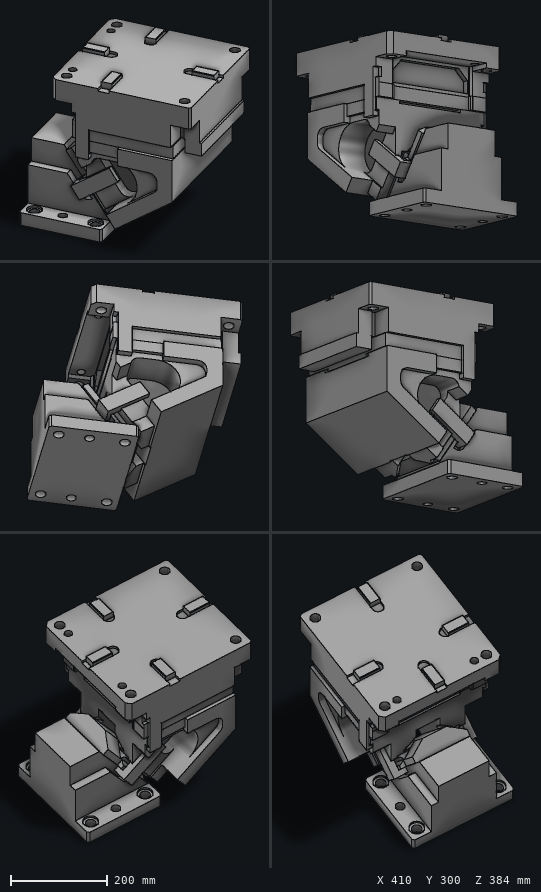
import cadquery as cq
import math


DRIVE_SLOPE_HEADING = -55.0
UP = 90.0
DRIVE_ANGLE = math.radians(-DRIVE_SLOPE_HEADING)
SLOPE_TOP_X = 75.0
SLOPE_TOP_Z = 175.0
ALONG = (math.cos(DRIVE_ANGLE), -math.sin(DRIVE_ANGLE))
OUT = (math.sin(DRIVE_ANGLE), math.cos(DRIVE_ANGLE))

BASE_LENGTH = 190.0
BASE_WIDTH = 250.0
BASE_THICKNESS = 30.0
BASE_CHAMFER = 5.0
BASE_HOLE_MARGIN = 25.0
BASE_BOLT_DIAMETER = 22.0
BASE_BOLT_HEAD_DIAMETER = 33.0
BASE_BOLT_HEAD_DEPTH = 5.0
BASE_DOWEL_X = 90.0
BASE_DOWEL_DIAMETER = 20.0

BLOCK_HALF_WIDTH = 80.0
BLOCK_TOP_HALF_WIDTH = 62.0
SHOULDER_Z = 120.0
LEDGE_OUT = 8.5
LEDGE_START = 75.0

VEE_START = 11.3
VEE_END = 171.0
VEE_HALF_WIDTH = 67.0
VEE_SIDE_OUT = 15.0
RIDGE_HALF_WIDTH = 29.0
RIDGE_OUT = 40.0
VEE_FALL = (RIDGE_OUT - VEE_SIDE_OUT) / (VEE_HALF_WIDTH - RIDGE_HALF_WIDTH)

GROOVE_DEPTH = 18.8
GROOVE_END = 126.0

SLIDER_FRONT_X = 139.5
SLIDER_BACK_X = 362.5
SLIDER_TOP_Z = 243.0
ARM_OUT = 58.5
ARM_END = 190.2
FOOT_OUT = 24.0
FOOT_END = 184.0
FOOT_HALF_WIDTH = 95.5
CORE_HALF_WIDTH = 91.5
NECK_HALF_WIDTH = 135.0
FLANGE_HALF_WIDTH = 142.0
FLANGE_BOTTOM_Z = 216.5
ARM_HALF_WIDTH = 150.0
ARM_FRONT_X = 237.8

WINDOW_TOP_Z = 203.0
WINDOW_START = 45.2
WINDOW_END = 154.4
WINDOW_CORNER_RADIUS = 20.0
WINDOW_BACK_X = 328.5

CAVITY_HALF_GAP = 66.0
CAVITY_RADIUS = 50.0
CAVITY_OUT = 79.5
CAVITY_CORNER_RADIUS = 20.0

RIDGE_SLOT_OUT = 60.5
LIP_START = 68.0
LIP_TIP_OUT = 15.5
LIP_HALF_WIDTH = 76.0
LIP_SEAT_OUT = 28.0
LIP_SEAT_HALF_WIDTH = 67.0
LIP_SEAT_RIDGE_OUT = 47.0

HOOK_START = 77.0
HOOK_END = 112.0
HOOK_IN = 12.5
HOOK_OUT = 94.5
HOOK_OUTER_Y = 102.5
HOOK_INNER_Y = 84.5
HOOK_TIP_Y = 68.0

TOP_SLOT_HALF_WIDTH = 80.0
TOP_SLOT_DEPTH = 7.0

PLATE_X = 85.0
PLATE_LENGTH = 320.0
PLATE_WIDTH = 300.0
PLATE_BOTTOM_Z = 325.5
PLATE_TOP_Z = 375.0
PLATE_FRONT_CHAMFER = 10.5
PLATE_BACK_CHAMFER = 5.0
PLATE_BOLT_MARGIN = 25.0
PLATE_BOLT_DIAMETER = 22.0
PLATE_DOWEL_Y = 95.0
PLATE_DOWEL_DIAMETER = 17.0

KEY_WIDTH = 25.0
KEY_LENGTH = 50.0
KEY_TOP_Z = 384.0
KEY_CHAMFER = 1.5
KEY_SLOT_DEPTH = 6.0
SIDE_KEY_X = 205.5
SIDE_KEY_INNER_Y = 84.0
SIDE_SLOT_END_Y = 71.5
END_KEY_MARGIN = 10.0
END_SLOT_LENGTH = 83.0

HOLDER_FRONT_X = 131.6
HOLDER_BACK_X = 359.0
GUIDE_FRONT_X = 131.1
HOLDER_BOTTOM_Z = 273.0
GUIDE_BACK_X = 361.0
GIB_FRONT_X = 141.3
GIB_BACK_X = 171.0
GIB_INNER_Y = 143.7
GIB_HOOK_Y = 137.0
GIB_KEYWAY_Y = 135.0
GIB_HOOK_TOP_Z = 214.0
GIB_BOTTOM_Z = 203.0
GIB_SEAT_Z = 285.0
GIB_KEY_TOP_Z = 306.0

RECESS_HALF_WIDTH = 101.0
RECESS_CHAMFER = 5.0
RECESS_STEP = 1.0
GUIDE_RECESS_TOP_Z = 271.4
GUIDE_RECESS_BACK_X = 140.0
RECESS_BACK_X = 139.5
RECESS_TOP_Z = 336.0
POCKET_HALF_WIDTH = 98.5
POCKET_TOP_HALF_WIDTH = 75.0
POCKET_BOTTOM_Z = 278.5
POCKET_SIDE_Z = 306.0
POCKET_TOP_Z = 329.5
POCKET_BACK_X = 153.0

RIB_HALF_WIDTH = 70.5

END_BLOCK_HALF_WIDTH = 106.0
END_BLOCK_X = 370.0
END_FOOT_X = 371.5
END_FOOT_BACK_X = 409.97
LINK_HALF_WIDTH = 100.0

FAR = 500.0


def slope_point(along, out):
    """X, Z of a point given in the drive frame."""
    x = SLOPE_TOP_X + along * ALONG[0] + out * OUT[0]
    z = SLOPE_TOP_Z + along * ALONG[1] + out * OUT[1]
    return (x, z)


def x_at_out(z, out):
    """X of the point at height z on the line a given distance out from the slope."""
    return SLOPE_TOP_X + (out - (z - SLOPE_TOP_Z) * OUT[1]) / OUT[0]


def x_at_along(z, along):
    """X of the point at height z on the line a given distance along the slope."""
    return SLOPE_TOP_X + (along - (z - SLOPE_TOP_Z) * ALONG[1]) / ALONG[0]


def z_at_along(x, along):
    return SLOPE_TOP_Z + (along - (x - SLOPE_TOP_X) * ALONG[0]) / ALONG[1]


def z_at_out(x, out):
    return SLOPE_TOP_Z + (out - (x - SLOPE_TOP_X) * OUT[0]) / OUT[1]


def on_circle(centre, radius, heading):
    """Point of a circle in the XZ plane; the heading is in degrees up from +X."""
    angle = math.radians(heading)
    return (centre[0] + radius * math.cos(angle), centre[1] + radius * math.sin(angle))


def slope_rectangle(start, end, inner, outer):
    corners = [(start, inner), (end, inner), (end, outer), (start, outer)]
    return [slope_point(*corner) for corner in corners]


def middle_prism(points, half_width):
    """XZ outline extruded to both sides of Y = 0."""
    return cq.Workplane("XZ").polyline(points).close().extrude(half_width, both=True)


def both_sides(draw, inner_y, outer_y):
    """Extrude the XZ outline made by draw(workplane) between inner_y and outer_y on both sides."""
    depth = outer_y - inner_y
    left = draw(cq.Workplane("XZ", origin=(0, outer_y, 0))).extrude(depth)
    right = draw(cq.Workplane("XZ", origin=(0, -inner_y, 0))).extrude(depth)
    return left.add(right).combine()


def side_prisms(points, inner_y, outer_y):
    return both_sides(lambda wp: wp.polyline(points).close(), inner_y, outer_y)


def slope_bar(profile, start, end):
    """(Y, out) profile extruded down the drive slope."""
    x, z = slope_point(start, 0)
    plane = cq.Plane(origin=(x, 0, z), xDir=(0, 1, 0), normal=(ALONG[0], 0, ALONG[1]))
    return cq.Workplane(plane).polyline(profile).close().extrude(end - start)


def block(x0, x1, y0, y1, z0, z1):
    return cq.Workplane("XY").box(x1 - x0, y1 - y0, z1 - z0, centered=False).translate((x0, y0, z0))


def centred_block(x0, x1, half_width, z0, z1):
    return block(x0, x1, -half_width, half_width, z0, z1)


def side_blocks(x0, x1, y0, y1, z0, z1):
    return block(x0, x1, y0, y1, z0, z1).union(block(x0, x1, -y1, -y0, z0, z1))


def mirrored_profile(half):
    """Close a profile given on the +Y half by its mirror image."""
    return half + [(-y, out) for y, out in reversed(half)]


def vee_y(out):
    """Half width of the vee's slanted flank at a height above the slope."""
    return RIDGE_HALF_WIDTH + (RIDGE_OUT - out) / VEE_FALL


def make_base():
    base = centred_block(0, BASE_LENGTH, BASE_WIDTH / 2, 0, BASE_THICKNESS)
    base = base.edges("|Z").chamfer(BASE_CHAMFER)
    bolt_y = BASE_WIDTH / 2 - BASE_HOLE_MARGIN
    bolts = [
        (x, y)
        for x in (BASE_HOLE_MARGIN, BASE_LENGTH - BASE_HOLE_MARGIN)
        for y in (-bolt_y, bolt_y)
    ]
    dowels = [(BASE_DOWEL_X, -bolt_y), (BASE_DOWEL_X, bolt_y)]
    top = cq.Workplane("XY", origin=(0, 0, BASE_THICKNESS))
    hole_sets = [
        (bolts, BASE_BOLT_DIAMETER, BASE_THICKNESS),
        (bolts, BASE_BOLT_HEAD_DIAMETER, BASE_BOLT_HEAD_DEPTH),
        (dowels, BASE_DOWEL_DIAMETER, BASE_THICKNESS),
    ]
    for places, diameter, depth in hole_sets:
        base = base.cut(top.pushPoints(places).circle(diameter / 2).extrude(-depth))
    return base


def make_block():
    upper = middle_prism(
        [
            (0, BASE_THICKNESS),
            (x_at_out(BASE_THICKNESS, 0), BASE_THICKNESS),
            (SLOPE_TOP_X, SLOPE_TOP_Z),
            (0, SLOPE_TOP_Z),
        ],
        BLOCK_TOP_HALF_WIDTH,
    )
    lower = middle_prism(
        [
            (0, BASE_THICKNESS),
            (x_at_out(BASE_THICKNESS, LEDGE_OUT), BASE_THICKNESS),
            slope_point(LEDGE_START, LEDGE_OUT),
            slope_point(LEDGE_START, 0),
            (x_at_out(SHOULDER_Z, 0), SHOULDER_Z),
            (0, SHOULDER_Z),
        ],
        BLOCK_HALF_WIDTH,
    )
    return upper.union(lower)


def make_vee():
    """Roof-shaped guide on the slope, widening onto the side ledges lower down."""
    flank_foot = (vee_y(LEDGE_OUT), LEDGE_OUT)
    ridge = (RIDGE_HALF_WIDTH, RIDGE_OUT)
    wide = slope_bar(mirrored_profile([flank_foot, ridge]), LEDGE_START, VEE_END)
    narrow_half = [(VEE_HALF_WIDTH, 0), (VEE_HALF_WIDTH, VEE_SIDE_OUT), ridge]
    return slope_bar(mirrored_profile(narrow_half), VEE_START, VEE_END).union(wide)


def make_hook_groove():
    """Groove along the slope with a quarter-round lower end."""
    arc_start = GROOVE_END - GROOVE_DEPTH
    diagonal = GROOVE_DEPTH * math.sqrt(0.5)

    def outline(wp):
        return (
            wp.moveTo(*slope_point(0, 0))
            .lineTo(*slope_point(0, -GROOVE_DEPTH))
            .lineTo(*slope_point(arc_start, -GROOVE_DEPTH))
            .threePointArc(slope_point(arc_start + diagonal, -diagonal), slope_point(GROOVE_END, 0))
            .close()
        )

    return both_sides(outline, BLOCK_TOP_HALF_WIDTH, BLOCK_HALF_WIDTH)


def make_driver():
    return make_base().union(make_block()).cut(make_hook_groove()).union(make_vee())


def make_slider_blank():
    outline = [
        (SLIDER_FRONT_X, SLIDER_TOP_Z),
        (SLIDER_BACK_X, SLIDER_TOP_Z),
        (SLIDER_BACK_X, z_at_along(SLIDER_BACK_X, ARM_END)),
        slope_point(ARM_END, ARM_OUT),
        slope_point(FOOT_END, ARM_OUT),
        slope_point(FOOT_END, FOOT_OUT),
        (SLIDER_FRONT_X, z_at_out(SLIDER_FRONT_X, FOOT_OUT)),
    ]
    return middle_prism(outline, ARM_HALF_WIDTH)


def cavity_centre():
    """Centre of the cavity's large arc, tangent to the window's top and floor."""
    z = WINDOW_TOP_Z - CAVITY_RADIUS
    return (x_at_along(z, WINDOW_END - CAVITY_RADIUS), z)


def cavity_outline(wp):
    """Rounded hollow bounded by the window's top and floor and a line parallel to the slope."""
    centre = cavity_centre()
    top_z = WINDOW_TOP_Z - CAVITY_CORNER_RADIUS
    top_centre = (x_at_out(top_z, CAVITY_OUT + CAVITY_CORNER_RADIUS), top_z)
    lower_along = WINDOW_END - CAVITY_CORNER_RADIUS
    lower_out = CAVITY_OUT + CAVITY_CORNER_RADIUS
    diagonal = CAVITY_CORNER_RADIUS * math.sqrt(0.5)
    toward_slope = DRIVE_SLOPE_HEADING + 270
    return (
        wp.moveTo(top_centre[0], WINDOW_TOP_Z)
        .lineTo(centre[0], WINDOW_TOP_Z)
        .threePointArc(
            on_circle(centre, CAVITY_RADIUS, (UP + DRIVE_SLOPE_HEADING) / 2),
            on_circle(centre, CAVITY_RADIUS, DRIVE_SLOPE_HEADING),
        )
        .lineTo(*slope_point(WINDOW_END, lower_out))
        .threePointArc(
            slope_point(lower_along + diagonal, lower_out - diagonal),
            slope_point(lower_along, CAVITY_OUT),
        )
        .lineTo(*on_circle(top_centre, CAVITY_CORNER_RADIUS, toward_slope))
        .threePointArc(
            on_circle(top_centre, CAVITY_CORNER_RADIUS, (UP + toward_slope) / 2),
            (top_centre[0], WINDOW_TOP_Z),
        )
        .close()
    )


def window_outline(wp):
    """Side window, open toward the driver, with two rounded back corners."""
    radius = WINDOW_CORNER_RADIUS
    x = WINDOW_BACK_X - radius
    top_centre = (x, WINDOW_TOP_Z - radius)
    low_centre = (x, z_at_along(x, WINDOW_END - radius))
    return (
        wp.moveTo(0, WINDOW_TOP_Z)
        .lineTo(x, WINDOW_TOP_Z)
        .threePointArc(on_circle(top_centre, radius, UP / 2), on_circle(top_centre, radius, 0))
        .lineTo(WINDOW_BACK_X, low_centre[1])
        .threePointArc(
            on_circle(low_centre, radius, DRIVE_SLOPE_HEADING / 2),
            on_circle(low_centre, radius, DRIVE_SLOPE_HEADING),
        )
        .lineTo(*slope_point(WINDOW_END, 0))
        .lineTo(0, 0)
        .close()
    )


def cut_sides(slider):
    for inner_y, top_z in ((FLANGE_HALF_WIDTH, SLIDER_TOP_Z), (NECK_HALF_WIDTH, FLANGE_BOTTOM_Z)):
        slider = slider.cut(side_blocks(0, ARM_FRONT_X, inner_y, ARM_HALF_WIDTH, WINDOW_TOP_Z, top_z))
    slider = slider.cut(both_sides(window_outline, NECK_HALF_WIDTH, ARM_HALF_WIDTH))
    passage = slope_rectangle(WINDOW_START, WINDOW_END, -FAR, CAVITY_OUT + CAVITY_CORNER_RADIUS)
    slider = slider.cut(side_prisms(passage, CORE_HALF_WIDTH, ARM_HALF_WIDTH))
    front = slope_rectangle(-FAR, WINDOW_END, -FAR, ARM_OUT)
    slider = slider.cut(side_prisms(front, CORE_HALF_WIDTH, ARM_HALF_WIDTH))
    foot_side = slope_rectangle(WINDOW_START, FAR, -FAR, ARM_OUT)
    slider = slider.cut(side_prisms(foot_side, FOOT_HALF_WIDTH, ARM_HALF_WIDTH))
    return slider.cut(both_sides(cavity_outline, CAVITY_HALF_GAP, NECK_HALF_WIDTH))


def make_vee_lips():
    """Lips that reach down the vee's flanks, with the outer face square to the flank."""
    tip_y = vee_y(LIP_TIP_OUT)
    half = [
        (tip_y, LIP_TIP_OUT),
        (tip_y + (FOOT_OUT - LIP_TIP_OUT) * VEE_FALL, FOOT_OUT),
        (LIP_HALF_WIDTH, FOOT_OUT),
        (LIP_HALF_WIDTH, LIP_SEAT_OUT),
        (vee_y(LIP_SEAT_OUT), LIP_SEAT_OUT),
    ]
    left = slope_bar(half, LIP_START, FOOT_END)
    return left.union(left.mirror("XZ"))


def make_vee_clearance():
    """Groove that mates with the vee's flanks, with a slot above its ridge."""
    half = [
        (vee_y(0), 0),
        (RIDGE_HALF_WIDTH, RIDGE_OUT),
        (RIDGE_HALF_WIDTH, RIDGE_SLOT_OUT),
    ]
    return slope_bar(mirrored_profile(half), -FAR, FAR)


def make_lip_seat():
    """Wider groove above the upper ends of the lips."""
    half = [
        (LIP_HALF_WIDTH, 0),
        (LIP_HALF_WIDTH, LIP_SEAT_OUT),
        (LIP_SEAT_HALF_WIDTH, LIP_SEAT_OUT),
        (RIDGE_HALF_WIDTH, LIP_SEAT_RIDGE_OUT),
    ]
    return slope_bar(mirrored_profile(half), -FAR, LIP_START)


def make_return_hooks():
    """Straps on the slider's sides whose tips run in the driver's grooves."""
    strap = slope_rectangle(HOOK_START, HOOK_END, -HOOK_IN, HOOK_OUT)
    tip = slope_rectangle(HOOK_START, HOOK_END, -HOOK_IN, 0)
    root = slope_rectangle(HOOK_START, HOOK_END, -HOOK_IN, FOOT_OUT)
    hooks = side_prisms(strap, CORE_HALF_WIDTH, HOOK_OUTER_Y)
    hooks = hooks.union(side_prisms(root, HOOK_INNER_Y, HOOK_OUTER_Y))
    return hooks.union(side_prisms(tip, HOOK_TIP_Y, HOOK_OUTER_Y))


def make_slider():
    slider = cut_sides(make_slider_blank())
    slider = slider.cut(make_vee_clearance()).cut(make_lip_seat())
    slider = slider.union(make_vee_lips()).union(make_return_hooks())
    top_slot = centred_block(0, FAR, TOP_SLOT_HALF_WIDTH, SLIDER_TOP_Z - TOP_SLOT_DEPTH, SLIDER_TOP_Z)
    return slider.cut(top_slot)


def make_plate():
    plate_end = PLATE_X + PLATE_LENGTH
    plate = centred_block(PLATE_X, plate_end, PLATE_WIDTH / 2, PLATE_BOTTOM_Z, PLATE_TOP_Z)
    plate = plate.edges("|Z and <X").chamfer(PLATE_FRONT_CHAMFER)
    plate = plate.edges("|Z and >X").edges("<Y or >Y").chamfer(PLATE_BACK_CHAMFER)
    return plate


def plate_holes():
    bolt_y = PLATE_WIDTH / 2 - PLATE_BOLT_MARGIN
    front_x = PLATE_X + PLATE_BOLT_MARGIN
    back_x = PLATE_X + PLATE_LENGTH - PLATE_BOLT_MARGIN
    bolts = [(x, y) for x in (front_x, back_x) for y in (-bolt_y, bolt_y)]
    dowels = [(front_x, -PLATE_DOWEL_Y), (front_x, PLATE_DOWEL_Y)]
    bottom = cq.Workplane("XY", origin=(0, 0, PLATE_BOTTOM_Z))
    thickness = PLATE_TOP_Z - PLATE_BOTTOM_Z
    holes = bottom.pushPoints(bolts).circle(PLATE_BOLT_DIAMETER / 2).extrude(thickness)
    return holes.union(bottom.pushPoints(dowels).circle(PLATE_DOWEL_DIAMETER / 2).extrude(thickness))


def key_slot(edge, inward_angle, length):
    """Slot open at a plate edge, with a round inner end."""
    radius = KEY_WIDTH / 2
    slot = block(0, length - radius, -radius, radius, 0, KEY_SLOT_DEPTH)
    slot = slot.union(cq.Workplane("XY").center(length - radius, 0).circle(radius).extrude(KEY_SLOT_DEPTH))
    slot = slot.rotate((0, 0, 0), (0, 0, 1), inward_angle)
    return slot.translate((edge[0], edge[1], PLATE_TOP_Z - KEY_SLOT_DEPTH))


def key(edge, inward_angle, margin):
    """Locating key lying in its slot, a margin in from the plate edge."""
    height = KEY_TOP_Z - PLATE_TOP_Z + KEY_SLOT_DEPTH
    bar = block(margin, margin + KEY_LENGTH, -KEY_WIDTH / 2, KEY_WIDTH / 2, 0, height)
    bar = bar.edges("|X and >Z").chamfer(KEY_CHAMFER)
    bar = bar.rotate((0, 0, 0), (0, 0, 1), inward_angle)
    return bar.translate((edge[0], edge[1], PLATE_TOP_Z - KEY_SLOT_DEPTH))


def add_keys(holder):
    half_width = PLATE_WIDTH / 2
    side_margin = half_width - SIDE_KEY_INNER_Y - KEY_LENGTH
    side_slot = half_width - SIDE_SLOT_END_Y
    places = [
        ((PLATE_X, 0), 0, END_KEY_MARGIN, END_SLOT_LENGTH),
        ((PLATE_X + PLATE_LENGTH, 0), 180, END_KEY_MARGIN, END_SLOT_LENGTH),
        ((SIDE_KEY_X, -half_width), 90, side_margin, side_slot),
        ((SIDE_KEY_X, half_width), -90, side_margin, side_slot),
    ]
    for edge, inward_angle, margin, slot_length in places:
        holder = holder.cut(key_slot(edge, inward_angle, slot_length))
        holder = holder.union(key(edge, inward_angle, margin))
    return holder


def make_guide():
    """Guide plate over the slider, with a rib in the slider's top slot."""
    guide = centred_block(GUIDE_FRONT_X, GUIDE_BACK_X, FLANGE_HALF_WIDTH, SLIDER_TOP_Z, HOLDER_BOTTOM_Z)
    slot_floor = SLIDER_TOP_Z - TOP_SLOT_DEPTH
    return guide.union(centred_block(POCKET_BACK_X, GUIDE_BACK_X, RIB_HALF_WIDTH, slot_floor, SLIDER_TOP_Z))


def make_gibs():
    """Side gibs hooked under the slider flange."""
    outer = PLATE_WIDTH / 2
    walls = side_blocks(GIB_FRONT_X, GIB_BACK_X, GIB_INNER_Y, outer, GIB_BOTTOM_Z, GIB_SEAT_Z)
    hooks = side_blocks(GIB_FRONT_X, GIB_BACK_X, GIB_HOOK_Y, outer, GIB_BOTTOM_Z, GIB_HOOK_TOP_Z)
    return walls.union(hooks)


def front_recess():
    mouth = RECESS_HALF_WIDTH + RECESS_CHAMFER
    upper_half = [
        (HOLDER_FRONT_X, mouth),
        (HOLDER_FRONT_X + RECESS_CHAMFER, RECESS_HALF_WIDTH),
        (RECESS_BACK_X, RECESS_HALF_WIDTH),
    ]
    outline = upper_half + [(x, -y) for x, y in reversed(upper_half)]
    recess = (
        cq.Workplane("XY", origin=(0, 0, HOLDER_BOTTOM_Z))
        .polyline(outline)
        .close()
        .extrude(RECESS_TOP_Z - HOLDER_BOTTOM_Z)
    )
    recess = recess.union(centred_block(PLATE_X, HOLDER_FRONT_X, mouth, PLATE_BOTTOM_Z, RECESS_TOP_Z))
    step_back = GUIDE_FRONT_X + RECESS_STEP
    guide_recesses = [
        (step_back, mouth, HOLDER_BOTTOM_Z),
        (RECESS_BACK_X, RECESS_HALF_WIDTH, HOLDER_BOTTOM_Z),
        (GUIDE_RECESS_BACK_X, RECESS_HALF_WIDTH, GUIDE_RECESS_TOP_Z),
    ]
    for back_x, half_width, top_z in guide_recesses:
        recess = recess.union(centred_block(GUIDE_FRONT_X, back_x, half_width, SLIDER_TOP_Z, top_z))
    half = [
        (POCKET_HALF_WIDTH, POCKET_BOTTOM_Z),
        (POCKET_HALF_WIDTH, POCKET_SIDE_Z),
        (POCKET_TOP_HALF_WIDTH, POCKET_TOP_Z),
    ]
    pocket = (
        cq.Workplane("YZ", origin=(RECESS_BACK_X, 0, 0))
        .polyline(mirrored_profile(half))
        .close()
        .extrude(POCKET_BACK_X - RECESS_BACK_X)
    )
    return recess.union(pocket)


def make_end_block():
    plate_end = PLATE_X + PLATE_LENGTH
    link = centred_block(HOLDER_BACK_X, END_BLOCK_X, LINK_HALF_WIDTH, HOLDER_BOTTOM_Z, PLATE_BOTTOM_Z)
    body = centred_block(END_BLOCK_X, plate_end, END_BLOCK_HALF_WIDTH, HOLDER_BOTTOM_Z, PLATE_BOTTOM_Z)
    foot = centred_block(END_FOOT_X, END_FOOT_BACK_X, END_BLOCK_HALF_WIDTH, SLIDER_TOP_Z, HOLDER_BOTTOM_Z)
    return link.union(body).union(foot)


def make_holder():
    outer = PLATE_WIDTH / 2
    body = centred_block(HOLDER_FRONT_X, HOLDER_BACK_X, outer, HOLDER_BOTTOM_Z, PLATE_BOTTOM_Z)
    gib_seats = [
        (GIB_FRONT_X, GIB_KEYWAY_Y, GIB_SEAT_Z, GIB_KEY_TOP_Z),
        (GIB_BACK_X, FLANGE_HALF_WIDTH, HOLDER_BOTTOM_Z, GIB_SEAT_Z),
    ]
    for back_x, inner_y, bottom_z, top_z in gib_seats:
        body = body.cut(side_blocks(HOLDER_FRONT_X, back_x, inner_y, outer, bottom_z, top_z))
    holder = body.union(make_plate()).union(make_guide()).union(make_end_block()).union(make_gibs())
    holder = holder.cut(front_recess()).cut(plate_holes())
    return add_keys(holder)


driver = make_driver()
slider = make_slider()
holder = make_holder()

result = cq.Compound.makeCompound([*driver.vals(), *slider.vals(), *holder.vals()])